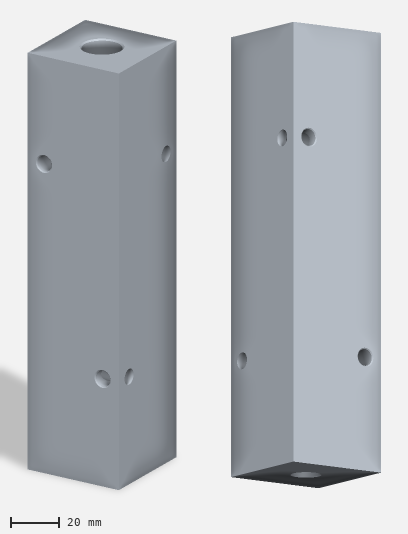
import cadquery as cq

side = 44.4
height = 184.2

bore_diameter = 12.9
port_mouth_diameter = 17.1
port_floor_diameter = 16.4
port_depth = 10.3
port_chamfer = 0.65

cross_diameter = 7.0
cross_chamfer = 0.46
cross_inset = 8.0
cross_offset = side / 2 - cross_inset
cross_height = 44.5


def make_cross_drill():
    """Cutter along Z through the block's width, flaring at its lower end."""
    entry = -side / 2
    radius = cross_diameter / 2
    drill = cq.Workplane("XY").circle(radius).extrude(side / 2, both=True)
    flare = cq.Solid.makeCone(radius + cross_chamfer, radius, cross_chamfer, cq.Vector(0, 0, entry))
    return drill.union(cq.Workplane(flare))


def make_port():
    """Cutter for the tapered top of the bore, with a flat floor and a chamfered mouth."""
    top = height / 2
    floor = top - port_depth
    mouth_radius = port_mouth_diameter / 2
    return (
        cq.Workplane("XZ")
        .moveTo(0, top)
        .lineTo(mouth_radius + port_chamfer, top)
        .lineTo(mouth_radius, top - port_chamfer)
        .lineTo(port_floor_diameter / 2, floor)
        .lineTo(0, floor)
        .close()
        .revolve(360, (0, 0, 0), (0, 1, 0))
    )


block = cq.Workplane("XY").box(side, side, height)
bore = cq.Workplane("XY").circle(bore_diameter / 2).extrude(height / 2, both=True)
result = block.cut(bore).cut(make_port())

drill = make_cross_drill()
drill_along_y = drill.rotate((0, 0, 0), (1, 0, 0), -90)
drill_along_x = drill.rotate((0, 0, 0), (0, 1, 0), 90)
for level in (1, -1):
    offset = level * cross_offset
    z = level * cross_height
    result = result.cut(drill_along_y.translate((-offset, 0, z)))
    result = result.cut(drill_along_x.translate((0, offset, z)))